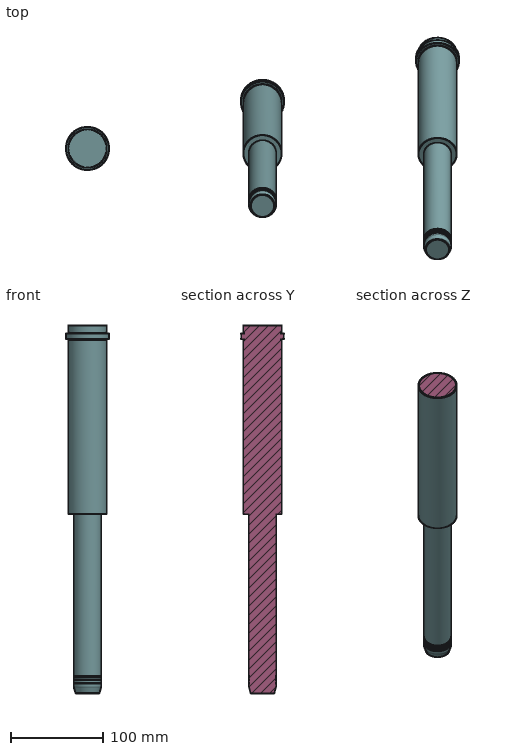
import cadquery as cq

total_length = 400.0
sleeve_length = 205.0
sleeve_radius = 42.0 / 2
rod_radius = 30.0 / 2

collar_radius = 23.5
collar_top = total_length - 9.0
collar_height = 6.5
collar_edge_chamfer = 0.5

relief_depth = 1.0
relief_gap = 1.0

sleeve_chamfer = 0.5
nose_height = 7.0
nose_tip_radius = 12.5
nose_taper_radius = 13.0
nose_chamfer_height = 1.0

groove_count = 3
groove_width = 1.0
groove_depth = 0.5
groove_pitch = 3.5
lowest_groove_bottom = 11.0


def cylinder(radius, bottom, height):
    return cq.Workplane("XY").workplane(offset=bottom).circle(radius).extrude(height)


def make_sleeve():
    sleeve = cylinder(sleeve_radius, total_length - sleeve_length, sleeve_length)
    return sleeve.faces("<Z").edges().chamfer(sleeve_chamfer)


def make_collar():
    collar = cylinder(collar_radius, collar_top - collar_height, collar_height)
    return collar.faces("<Z or >Z").edges().chamfer(collar_edge_chamfer)


def make_rod():
    """Revolve the rod, whose nose is a slight taper ending in a small chamfer."""
    rod_top = total_length - sleeve_length / 2
    outline = [
        (0, 0),
        (nose_tip_radius, 0),
        (nose_taper_radius, nose_chamfer_height),
        (rod_radius, nose_height),
        (rod_radius, rod_top),
        (0, rod_top),
    ]
    return cq.Workplane("XZ").polyline(outline).close().revolve(360, (0, 0, 0), (0, 1, 0))


def make_ring_groove(body_radius, depth, bottom, width):
    """Ring of material to remove from a round body, reaching past its surface."""
    outer = cylinder(body_radius + depth, bottom, width)
    return outer.cut(cylinder(body_radius - depth, bottom, width))


relief_bottom = collar_top - collar_height - relief_gap
relief_width = collar_height + 2 * relief_gap

result = make_rod().union(make_sleeve())
result = result.cut(make_ring_groove(sleeve_radius, relief_depth, relief_bottom, relief_width))
result = result.union(make_collar())
for index in range(groove_count):
    groove_bottom = lowest_groove_bottom + index * groove_pitch
    result = result.cut(make_ring_groove(rod_radius, groove_depth, groove_bottom, groove_width))